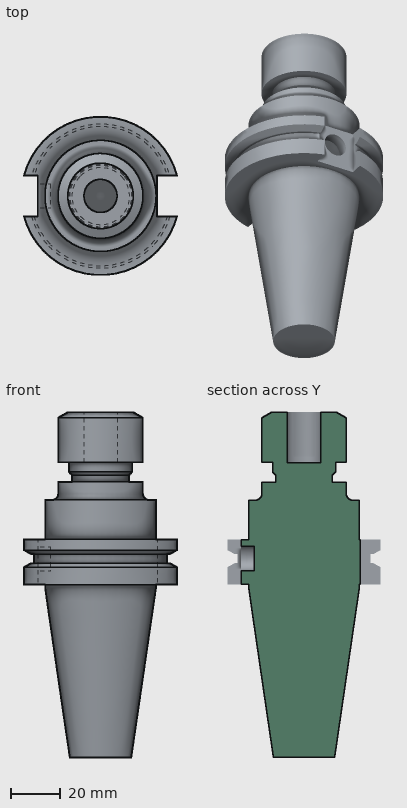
import cadquery as cq
import math

total_height = 138.2
gauge_height = 68.0
flange_bottom = 69.3
flange_top = 87.4
shoulder_height = 103.1
collar_top = 110.3
nut_bottom = 118.2

taper_radius = 22.3
taper_ratio = 7 / 24
tip_radius = taper_radius - gauge_height * taper_ratio / 2

flange_diameter = 63.5
flange_radius = flange_diameter / 2
groove_radius = 27.9
groove_ledge = 1.0
groove_side_radius = groove_radius + groove_ledge
groove_middle = 79.6
groove_floor_width = 3.6
groove_side_angle = 30.0
groove_side_height = (flange_radius - groove_side_radius) * math.tan(math.radians(groove_side_angle))
groove_floor_bottom = groove_middle - groove_floor_width / 2
groove_floor_top = groove_middle + groove_floor_width / 2

body_radius = taper_radius
collar_radius = 17.0
collar_fillet = 2.5
neck_radius = 11.5
thread_radius = 12.7
thread_chamfer = thread_radius - neck_radius
thread_bottom = 113.1
nut_radius = collar_radius
nut_face_radius = 13.1
nut_chamfer_height = 2.2
bore_radius = 6.6
bore_depth = total_height - nut_bottom

slot_width = 16.3
left_floor = 25.2
right_floor = 22.7
side_hole_radius = 4.8
side_hole_depth = 5.1


def make_turned_body():
    """Revolve the half profile of the holder about the Z axis."""
    fillet_edge = collar_radius + collar_fillet
    fillet_top = shoulder_height + collar_fillet
    fillet_reach = collar_fillet * (1 - math.sqrt(0.5))
    fillet_middle = (collar_radius + fillet_reach, shoulder_height + fillet_reach)
    profile = (
        cq.Workplane("XZ")
        .lineTo(tip_radius, 0)
        .lineTo(taper_radius, gauge_height)
        .lineTo(taper_radius, flange_bottom)
        .lineTo(flange_radius, flange_bottom)
        .lineTo(flange_radius, groove_floor_bottom - groove_side_height)
        .lineTo(groove_side_radius, groove_floor_bottom)
        .lineTo(groove_radius, groove_floor_bottom)
        .lineTo(groove_radius, groove_floor_top)
        .lineTo(groove_side_radius, groove_floor_top)
        .lineTo(flange_radius, groove_floor_top + groove_side_height)
        .lineTo(flange_radius, flange_top)
        .lineTo(body_radius, flange_top)
        .lineTo(body_radius, shoulder_height)
        .lineTo(fillet_edge, shoulder_height)
        .threePointArc(fillet_middle, (collar_radius, fillet_top))
        .lineTo(collar_radius, collar_top)
        .lineTo(neck_radius, collar_top)
        .lineTo(neck_radius, thread_bottom)
        .lineTo(thread_radius, thread_bottom + thread_chamfer)
        .lineTo(thread_radius, nut_bottom)
        .lineTo(nut_radius, nut_bottom)
        .lineTo(nut_radius, total_height - nut_chamfer_height)
        .lineTo(nut_face_radius, total_height)
        .lineTo(0, total_height)
        .close()
    )
    return profile.revolve(360, (0, 0, 0), (0, 1, 0))


def make_drive_slot(floor_distance, side):
    """Box that opens the flange outward from floor_distance; side is -1 or 1 along X."""
    length = flange_radius - floor_distance
    middle = side * (floor_distance + length / 2)
    return (
        cq.Workplane("XY", origin=(middle, 0, flange_bottom))
        .rect(length, slot_width)
        .extrude(flange_top - flange_bottom)
    )


def make_side_hole():
    """Blind radial hole going inward from the -X slot floor."""
    return (
        cq.Workplane("YZ", origin=(-left_floor, 0, groove_middle))
        .circle(side_hole_radius)
        .extrude(side_hole_depth)
    )


def make_bore():
    """Blind tool bore from the nut face down to the underside of the nut."""
    return cq.Workplane("XY", origin=(0, 0, total_height)).circle(bore_radius).extrude(-bore_depth)


result = (
    make_turned_body()
    .cut(make_drive_slot(left_floor, -1))
    .cut(make_drive_slot(right_floor, 1))
    .cut(make_side_hole())
    .cut(make_bore())
)